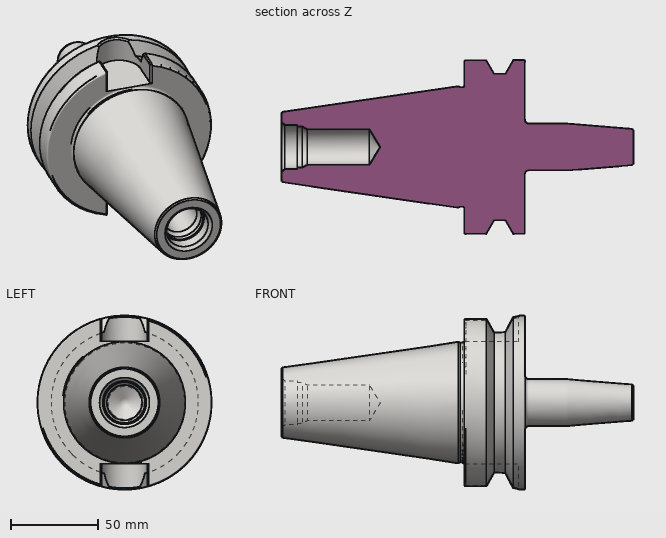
import cadquery as cq
import math

taper_slope = 7 / 48
gauge_plane = 101.3
gauge_radius = 35.0
small_radius = gauge_radius - gauge_plane * taper_slope
small_chamfer = 0.8
neck_radius = 34.3
neck_start = 102.5
neck_fillet = 1.2

flange_start = 104.7
flange_end = 139.6
flange_radius = 49.95
flange_fillet = 1.0
groove_center = 125.1
groove_floor_width = 6.5
groove_radius = 42.2
groove_flank_angle = 30
groove_flank = (flange_radius - groove_radius) * math.tan(math.radians(groove_flank_angle))

slot_width = 25.8
slot_floor = 35.1
slot_end = 135.8
slot_chamfer = 1.0
rim_tolerance = 0.002

nose_radius = 13.5
nose_fillet = 2.0
nose_taper_start = 163.9
nose_tip_radius = 10.5
nose_chamfer = 1.0
length = 201.8

mouth_radius = 14.3
mouth_depth = 2.0
counterbore_radius = 12.5
counterbore_depth = 9.0
relief_radius = 11.7
relief_depth = 12.0
thread_start = 15.0
thread_radius = 10.0
bore_depth = 50.5
drill_tip_angle = 118


def make_body():
    """Turn the solid outline about the X axis."""
    floor_start = groove_center - groove_floor_width / 2
    floor_end = groove_center + groove_floor_width / 2
    diagonal = math.sqrt(0.5)

    def rounded(x, r, radius, direction):
        inset = radius * (1 - diagonal)
        return (x + direction * inset, r - inset)

    neck_fillet_mid = neck_fillet * (1 - diagonal)
    nose_fillet_mid = nose_fillet * (1 - diagonal)
    outline = (
        cq.Workplane("XY")
        .moveTo(0, 0)
        .lineTo(0, small_radius - small_chamfer)
        .lineTo(small_chamfer, small_radius + small_chamfer * taper_slope)
        .lineTo(gauge_plane, gauge_radius)
        .lineTo(neck_start, neck_radius)
        .lineTo(flange_start - neck_fillet, neck_radius)
        .threePointArc(
            (flange_start - neck_fillet_mid, neck_radius + neck_fillet_mid),
            (flange_start, neck_radius + neck_fillet),
        )
        .lineTo(flange_start, flange_radius - flange_fillet)
        .threePointArc(
            rounded(flange_start, flange_radius, flange_fillet, 1),
            (flange_start + flange_fillet, flange_radius),
        )
        .lineTo(floor_start - groove_flank, flange_radius)
        .lineTo(floor_start, groove_radius)
        .lineTo(floor_end, groove_radius)
        .lineTo(floor_end + groove_flank, flange_radius)
        .lineTo(flange_end - flange_fillet, flange_radius)
        .threePointArc(
            rounded(flange_end, flange_radius, flange_fillet, -1),
            (flange_end, flange_radius - flange_fillet),
        )
        .lineTo(flange_end, nose_radius + nose_fillet)
        .threePointArc(
            (flange_end + nose_fillet_mid, nose_radius + nose_fillet_mid),
            (flange_end + nose_fillet, nose_radius),
        )
        .lineTo(nose_taper_start, nose_radius)
        .lineTo(length - nose_chamfer, nose_tip_radius)
        .lineTo(length, nose_tip_radius - nose_chamfer)
        .lineTo(length, 0)
        .close()
    )
    return outline.revolve(360, (0, 0, 0), (1, 0, 0))


def make_bore():
    """Stepped bore with a drill-point bottom, as a solid to remove."""
    tip_depth = thread_radius / math.tan(math.radians(drill_tip_angle / 2))
    outline = (
        cq.Workplane("XY")
        .moveTo(0, 0)
        .lineTo(0, mouth_radius)
        .lineTo(mouth_depth, counterbore_radius)
        .lineTo(counterbore_depth, counterbore_radius)
        .lineTo(counterbore_depth, relief_radius)
        .lineTo(relief_depth, relief_radius)
        .lineTo(thread_start, thread_radius)
        .lineTo(bore_depth, thread_radius)
        .lineTo(bore_depth + tip_depth, 0)
        .close()
    )
    return outline.revolve(360, (0, 0, 0), (1, 0, 0))


def make_slot():
    """Round-ended drive slot on the +Z side, with its entry edges chamfered."""
    half = slot_width / 2
    slot_start = flange_start - neck_fillet
    height = flange_radius - slot_floor
    arc_start = slot_end - half
    slot = (
        cq.Workplane("XY", origin=(0, 0, slot_floor))
        .moveTo(slot_start, -half)
        .lineTo(arc_start, -half)
        .threePointArc((slot_end, 0), (arc_start, half))
        .lineTo(slot_start, half)
        .close()
        .extrude(height)
    )
    entry = (
        cq.Workplane("XY", origin=(0, 0, slot_floor))
        .polyline([
            (flange_start, -half - slot_chamfer),
            (flange_start + slot_chamfer, -half),
            (flange_start + slot_chamfer, half),
            (flange_start, half + slot_chamfer),
        ])
        .close()
        .extrude(height)
    )
    return slot.union(entry)


def chamfer_slot_rims(body):
    """Break the edges where the slots run out through the flange rim."""
    def on_rim(point):
        return math.isclose(math.hypot(point.y, point.z), flange_radius, abs_tol=rim_tolerance)

    rim_edges = [
        edge
        for edge in body.edges("not %CIRCLE").vals()
        if on_rim(edge.startPoint()) and on_rim(edge.endPoint())
        and abs(edge.startPoint().y) < slot_width
    ]
    return body.newObject(rim_edges).chamfer(slot_chamfer)


result = make_body().cut(make_bore())
for side_angle in (0, 180):
    result = result.cut(make_slot().rotate((0, 0, 0), (1, 0, 0), side_angle))
result = chamfer_slot_rims(result)